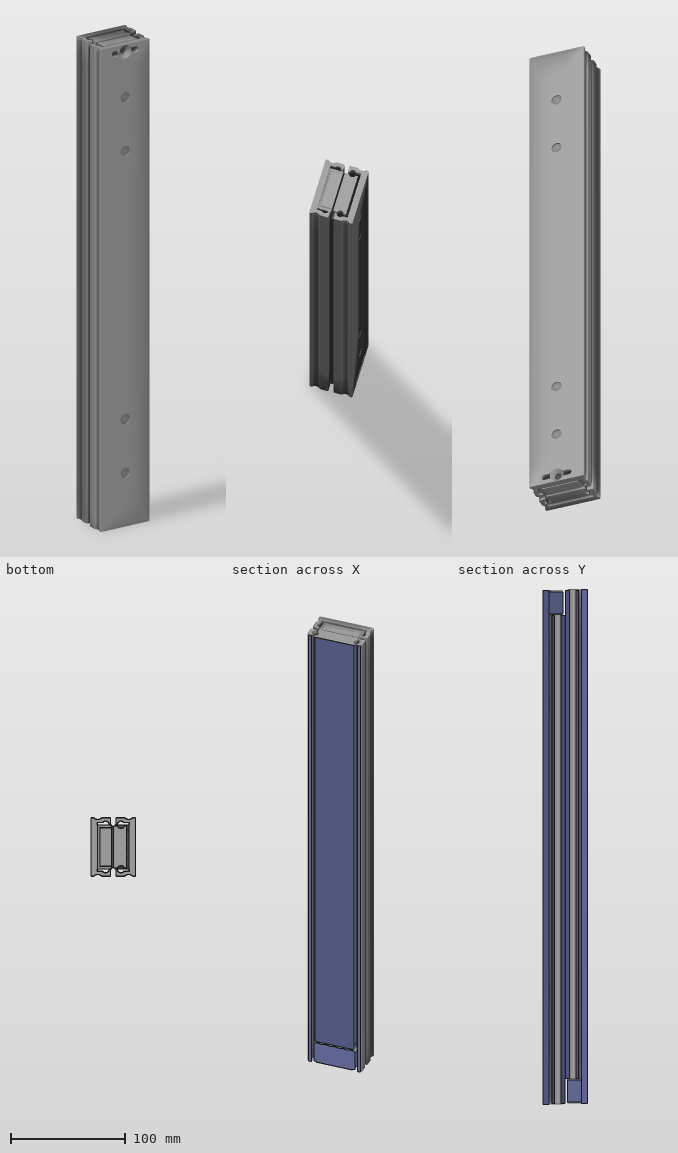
import cadquery as cq
import math

LENGTH = 450
WIDTH = 39.0
DEPTH = 51.5
HALF_WIDTH = WIDTH / 2
HALF_DEPTH = DEPTH / 2

RAIL_BOTTOM = 1.0
WEB_INNER_X = -14.0
LIP_X = -2.2
LIP_Y = 20.0
CHANNEL_Y = 21.0
RAIL_FILLET = 1.0
FLUTE_START_X = -17.0
FLUTE_END_X = -10.0
FLUTE_DEPTH = 1.58
WEB_THICKNESS = HALF_WIDTH + WEB_INNER_X

TRACK_X = -6.8
TRACK_Y = 19.5
TRACK_RADIUS = 3.0

HOLE_DIAMETER = 9.5
HOLE_DEPTH = 1.5
HOLE_PITCH = LENGTH / 9
HOLE_STEPS = (1, 2, 7, 8)

SLOT_Z = 7.5
SLOT_HEIGHT = 5.5
SLOT_LENGTH = 28.0
RIVET_DIAMETER = 12.5
RIVET_BORE_DIAMETER = 6.0

SLIDER_OUTER_X = -11.5
SLIDER_HALF_DEPTH = 18.5
SLIDER_FILLET = 1.5
SLIDER_BOTTOM = 23.0
SLIDER_TOP = 449.0

BUMPER_BOTTOM = 1.5
BUMPER_WAVE_Z = 22.0
BUMPER_INNER_X = -1.58
BUMPER_HALF_DEPTH = 19.5
PAD_HEIGHT = 1.0
PAD_HALF_DEPTH = 17.0
PAD_CHAMFER = 0.68
WAVE_RADIUS = 6.5
WAVE_CHORD = 3.9
WAVE_COUNT = 7


def mirrored_bar(half_outline, bottom, top):
    """Extrude a half outline, mirrored about the XZ plane, from bottom to top."""
    return half_outline.mirrorX().extrude(top - bottom).translate((0, 0, bottom))


def rail_half_outline():
    flute_middle_x = (FLUTE_START_X + FLUTE_END_X) / 2
    track_start = math.sqrt(TRACK_RADIUS**2 - (CHANNEL_Y - TRACK_Y) ** 2)
    track_end = math.sqrt(TRACK_RADIUS**2 - (LIP_Y - TRACK_Y) ** 2)
    return (
        cq.Workplane("XY")
        .moveTo(-HALF_WIDTH, 0)
        .lineTo(-HALF_WIDTH, HALF_DEPTH - RAIL_FILLET)
        .radiusArc((-HALF_WIDTH + RAIL_FILLET, HALF_DEPTH), RAIL_FILLET)
        .lineTo(FLUTE_START_X, HALF_DEPTH)
        .threePointArc((flute_middle_x, HALF_DEPTH - FLUTE_DEPTH), (FLUTE_END_X, HALF_DEPTH))
        .lineTo(LIP_X - RAIL_FILLET, HALF_DEPTH)
        .radiusArc((LIP_X, HALF_DEPTH - RAIL_FILLET), RAIL_FILLET)
        .lineTo(LIP_X, LIP_Y)
        .lineTo(TRACK_X + track_end, LIP_Y)
        .threePointArc((TRACK_X, TRACK_Y + TRACK_RADIUS), (TRACK_X - track_start, CHANNEL_Y))
        .lineTo(WEB_INNER_X, CHANNEL_Y)
        .lineTo(WEB_INNER_X, 0)
    )


def web_face():
    """Workplane on the outer face of the rail web: local X is Y, local Y is Z."""
    return cq.Workplane("YZ", origin=(-HALF_WIDTH, 0, 0))


def mounting_holes():
    centers = [(0, step * HOLE_PITCH) for step in HOLE_STEPS]
    return web_face().pushPoints(centers).circle(HOLE_DIAMETER / 2).extrude(HOLE_DEPTH)


def rivet_slot():
    middle = web_face().center(0, SLOT_Z)
    slot = middle.slot2D(SLOT_LENGTH, SLOT_HEIGHT).extrude(WEB_THICKNESS)
    seat = middle.circle(RIVET_DIAMETER / 2).extrude(WEB_THICKNESS)
    return slot.union(seat)


def make_rail():
    channel = mirrored_bar(rail_half_outline(), RAIL_BOTTOM, LENGTH)
    return channel.cut(mounting_holes()).cut(rivet_slot())


def make_rivet():
    """Hollow plug in the slot seat, with a 45 degree countersink in its outer face."""
    middle = web_face().center(0, SLOT_Z)
    plug = middle.circle(RIVET_DIAMETER / 2).circle(RIVET_BORE_DIAMETER / 2).extrude(WEB_THICKNESS)
    countersink = cq.Solid.makeCone(
        RIVET_DIAMETER / 2,
        RIVET_BORE_DIAMETER / 2,
        (RIVET_DIAMETER - RIVET_BORE_DIAMETER) / 2,
        cq.Vector(-HALF_WIDTH, 0, SLOT_Z),
        cq.Vector(1, 0, 0),
    )
    return plug.cut(cq.Workplane(countersink))


def make_slider():
    half_outline = (
        cq.Workplane("XY")
        .moveTo(SLIDER_OUTER_X, 0)
        .lineTo(SLIDER_OUTER_X, SLIDER_HALF_DEPTH)
        .lineTo(-SLIDER_FILLET, SLIDER_HALF_DEPTH)
        .radiusArc((0, SLIDER_HALF_DEPTH - SLIDER_FILLET), SLIDER_FILLET)
        .lineTo(0, 0)
    )
    bar = mirrored_bar(half_outline, SLIDER_BOTTOM, SLIDER_TOP)
    tracks = (
        cq.Workplane("XY")
        .pushPoints([(TRACK_X, -TRACK_Y), (TRACK_X, TRACK_Y)])
        .circle(TRACK_RADIUS)
        .extrude(LENGTH)
    )
    return bar.cut(tracks)


def bumper_outline():
    """Workplane sketch in YZ: flat foot, straight sides and a wavy top between two round shoulders."""
    waves_end_y = WAVE_COUNT * WAVE_CHORD / 2
    shoulder_center_y = waves_end_y + WAVE_CHORD / 2
    shoulder_center_z = BUMPER_WAVE_Z - math.sqrt(WAVE_RADIUS**2 - (WAVE_CHORD / 2) ** 2)
    shoulder_run = BUMPER_HALF_DEPTH - shoulder_center_y
    shoulder_z = shoulder_center_z + math.sqrt(WAVE_RADIUS**2 - shoulder_run**2)
    foot_z = BUMPER_BOTTOM + PAD_HEIGHT

    outline = (
        cq.Workplane("YZ", origin=(WEB_INNER_X, 0, 0))
        .moveTo(-BUMPER_HALF_DEPTH, foot_z)
        .lineTo(-BUMPER_HALF_DEPTH, shoulder_z)
        .radiusArc((-waves_end_y, BUMPER_WAVE_Z), WAVE_RADIUS)
    )
    for wave in range(WAVE_COUNT):
        is_valley = wave % 2 == 0
        end_y = (wave + 1) * WAVE_CHORD - waves_end_y
        outline = outline.radiusArc((end_y, BUMPER_WAVE_Z), -WAVE_RADIUS if is_valley else WAVE_RADIUS)
    return (
        outline.radiusArc((BUMPER_HALF_DEPTH, shoulder_z), WAVE_RADIUS)
        .lineTo(BUMPER_HALF_DEPTH, foot_z)
        .close()
    )


def make_bumper():
    block = bumper_outline().extrude(BUMPER_INNER_X - WEB_INNER_X)
    pad = (
        cq.Workplane("XY")
        .box(BUMPER_INNER_X - SLIDER_OUTER_X, 2 * PAD_HALF_DEPTH, PAD_HEIGHT, centered=(False, True, False))
        .faces("<Z")
        .edges("|X")
        .chamfer(PAD_CHAMFER)
        .translate((SLIDER_OUTER_X, 0, BUMPER_BOTTOM))
    )
    return block.union(pad)


def turned_over(body):
    """The same body for the +X half: half a turn about the Y axis through the middle."""
    return body.rotate((0, 0, LENGTH / 2), (0, 1, LENGTH / 2), 180)


solids = []
for make_body in (make_rail, make_rivet, make_slider, make_bumper):
    body = make_body()
    solids += [body.val(), turned_over(body).val()]

result = cq.Compound.makeCompound(solids)